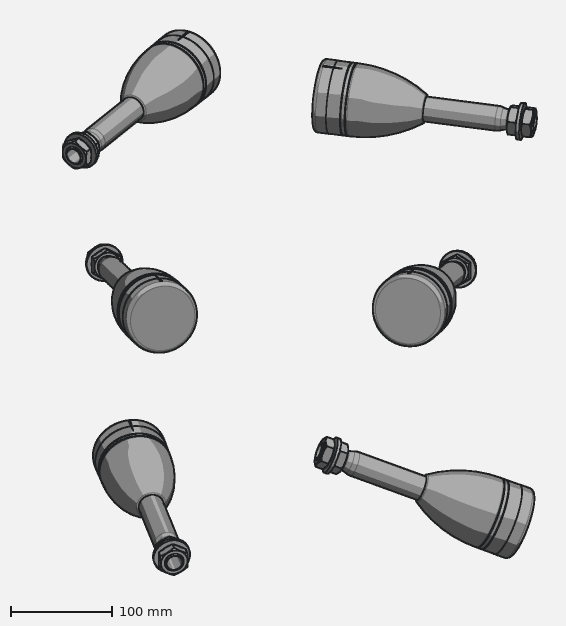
import cadquery as cq
import math

total_length = 219.8

head_start = 110.8
shank_start = 38.5
neck_end = 28.0
shank_radius = 12.5
neck_radius = 10.3
stud_radius = 10.0
tip_radius = 8.4
bore_radius = 8.0

nut_across_flats = 27.5
nut_height = 10.1
nut_face_radius = 13.5
nut_chamfer_angle = 30.0
nut_turn_angle = 30.0
outer_nut_start = 1.3
washer_start = 12.5
washer_thickness = 3.5
washer_radius = 18.5
inner_nut_start = washer_start + washer_thickness
stud_end = inner_nut_start + nut_height

taper_end = 183.0
cap_start = 203.5
rim_height = 218.0
cap_radius = 36.7
cap_step = 0.2
barrel_radius = cap_radius - cap_step
head_end_radius = 14.0
rim_fillet = 4.0
head_end_fillet = 2.2

groove_positions = [184.7, 189.3]
groove_width = 0.7
groove_depth = 0.2

ridge_width = 2.0
ridge_base = 214.1
ridge_point = 195.5
ridge_top = 37.0
ridge_root = 35.2


def turned(profile):
    """Revolve a closed XY profile about the Y axis."""
    return profile.close().revolve(360, (0, 0, 0), (0, 1, 0))


def ring(outer_radius, inner_radius, start, height):
    """Flat ring around the Y axis that starts at the given Y."""
    return (
        cq.Workplane("XZ", origin=(0, start, 0))
        .circle(outer_radius)
        .circle(inner_radius)
        .extrude(-height)
    )


def hex_nut(start):
    """Hexagon with corners on +Z and -Z, its corners chamfered at both ends."""
    corner_radius = nut_across_flats / math.sqrt(3)
    chamfer_height = (corner_radius - nut_face_radius) * math.tan(math.radians(nut_chamfer_angle))
    end = start + nut_height
    hexagon = (
        cq.Workplane("XZ", origin=(0, start, 0))
        .polygon(6, 2 * corner_radius)
        .extrude(-nut_height)
        .rotate((0, 0, 0), (0, 1, 0), nut_turn_angle)
    )
    chamfer_envelope = turned(
        cq.Workplane("XY")
        .moveTo(0, start)
        .lineTo(nut_face_radius, start)
        .lineTo(corner_radius, start + chamfer_height)
        .lineTo(corner_radius, end - chamfer_height)
        .lineTo(nut_face_radius, end)
        .lineTo(0, end)
    )
    return hexagon.intersect(chamfer_envelope)


def make_stem():
    """Tubular stem with an S-shaped neck, carrying two nuts and a washer."""
    neck_middle = ((shank_radius + neck_radius) / 2, (shank_start + neck_end) / 2)
    stem = turned(
        cq.Workplane("XY")
        .lineTo(tip_radius, 0)
        .lineTo(stud_radius, stud_radius - tip_radius)
        .lineTo(stud_radius, stud_end)
        .lineTo(neck_radius, stud_end)
        .lineTo(neck_radius, neck_end)
        .tangentArcPoint(neck_middle, relative=False)
        .tangentArcPoint((shank_radius, shank_start), relative=False)
        .lineTo(shank_radius, head_start)
        .lineTo(0, head_start)
    )
    washer = ring(washer_radius, bore_radius, washer_start, washer_thickness)
    stem = stem.union(washer)
    for nut_start in (outer_nut_start, inner_nut_start):
        stem = stem.union(hex_nut(nut_start))
    bore = cq.Workplane("XZ").circle(bore_radius).extrude(-head_start)
    return stem.cut(bore)


def taper_arc_middle():
    """Middle point of the taper arc, which meets the barrel tangentially."""
    length = taper_end - head_start
    drop = barrel_radius - head_end_radius
    arc_radius = (length**2 + drop**2) / (2 * drop)
    half_angle = math.asin(length / arc_radius) / 2
    return (
        barrel_radius - arc_radius * (1 - math.cos(half_angle)),
        taper_end - arc_radius * math.sin(half_angle),
    )


def make_head():
    """Solid head: curved taper, grooved barrel and domed cap, rounded at both ends."""
    rim_drop = total_length - rim_height
    dome_radius = (cap_radius**2 + rim_drop**2) / (2 * rim_drop)
    head = turned(
        cq.Workplane("XY")
        .moveTo(0, head_start)
        .lineTo(head_end_radius, head_start)
        .threePointArc(taper_arc_middle(), (barrel_radius, taper_end))
        .lineTo(barrel_radius, cap_start)
        .lineTo(cap_radius, cap_start)
        .lineTo(cap_radius, rim_height)
        .radiusArc((0, total_length), -dome_radius)
    )
    rim_centre = (0, rim_height, 0)
    head = head.edges(cq.NearestToPointSelector(rim_centre)).fillet(rim_fillet)
    head = head.faces("<Y").edges().fillet(head_end_fillet)
    for position in groove_positions:
        groove_start = position - groove_width / 2
        head = head.cut(ring(cap_radius, barrel_radius - groove_depth, groove_start, groove_width))
    ridge = (
        cq.Workplane("XY", origin=(0, 0, ridge_root))
        .moveTo(-ridge_width / 2, ridge_base)
        .lineTo(ridge_width / 2, ridge_base)
        .lineTo(0, ridge_point)
        .close()
        .extrude(ridge_top - ridge_root)
    )
    return head.union(ridge)


stem = make_stem()
head = make_head()
result = cq.Compound.makeCompound([stem.val(), head.val()])